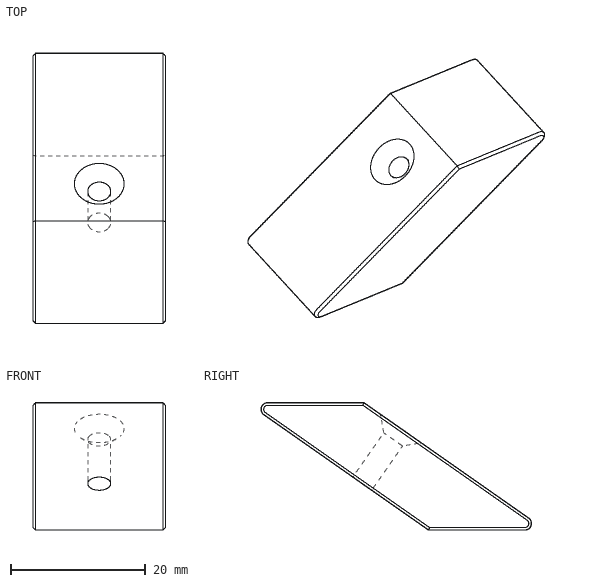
import cadquery as cq
import math

width = 19.7
length = 40.2
height = 19.0

slope = math.radians(35)
tip_radius = 1.0
edge_chamfer = 0.4

hole_diameter = 3.4
countersink_diameter = 7.4
hole_from_top_corner = 6.7

tip_y = length / 2 - tip_radius + tip_radius / math.tan(slope / 2)
corner_y = height / math.tan(slope) - tip_y
half_height = height / 2


def make_block():
    """Slanted block, centred on the origin, with chamfered side outlines."""
    profile = [
        (-tip_y, half_height),
        (-corner_y, half_height),
        (tip_y, -half_height),
        (corner_y, -half_height),
    ]
    block = cq.Workplane("YZ").polyline(profile).close().extrude(width / 2, both=True)
    for tip in ((0, -tip_y, half_height), (0, tip_y, -half_height)):
        block = block.edges(cq.selectors.NearestToPointSelector(tip)).fillet(tip_radius)
    return block.faces("<X or >X").edges().chamfer(edge_chamfer)


def make_countersunk_hole():
    """Cutter for the through hole and its 90 degree countersink."""
    hole_radius = hole_diameter / 2
    countersink_radius = countersink_diameter / 2
    countersink_depth = countersink_radius - hole_radius
    thickness = (tip_y - corner_y) * math.sin(slope)
    mouth = (
        0,
        -corner_y + hole_from_top_corner * math.cos(slope),
        half_height - hole_from_top_corner * math.sin(slope),
    )
    inward = (0, -math.sin(slope), -math.cos(slope))
    face = cq.Plane(origin=mouth, xDir=(1, 0, 0), normal=inward)
    bore = cq.Workplane(face).circle(hole_radius).extrude(thickness)
    countersink = cq.Solid.makeCone(
        countersink_radius, hole_radius, countersink_depth, cq.Vector(*mouth), cq.Vector(*inward)
    )
    return bore.union(cq.Workplane(countersink))


result = make_block().cut(make_countersunk_hole())